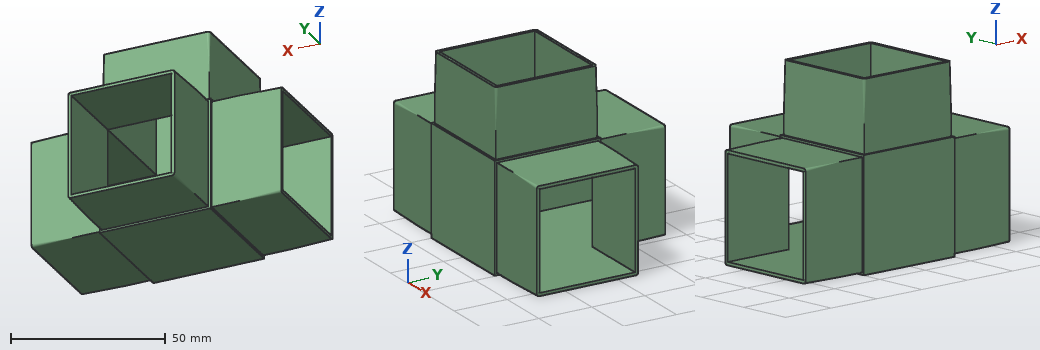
import cadquery as cq

overall_length = 90.0
hub_size = 40.0
spigot_width = 38.3
bore_width = 36.0

mouth_radius = 1.0
rounded_length = 15.0
starting_radius = 0.02

hub_half = hub_size / 2
reach = overall_length / 2

mouth_directions = [(-1, 0, 0), (1, 0, 0), (0, 1, 0), (0, 0, 1)]

def rounded_square(width, radius):
    return cq.Sketch().rect(width, width).vertices().fillet(radius)

def plane_facing(direction):
    """Plane through the hub centre, with its normal along a spigot axis."""
    x_direction = (0, 1, 0) if direction[0] else (1, 0, 0)
    return cq.Plane(origin=(0, 0, 0), xDir=x_direction, normal=direction)

def spigot(direction):
    """Solid spigot from the hub centre out to its mouth."""
    rounding_start = reach - rounded_length
    base = cq.Workplane(plane_facing(direction))
    straight = base.rect(spigot_width, spigot_width).extrude(rounding_start)
    tip = (
        base.workplane(offset=rounding_start)
        .placeSketch(
            rounded_square(spigot_width, starting_radius),
            rounded_square(spigot_width, mouth_radius).moved(cq.Location(cq.Vector(0, 0, rounded_length))),
        )
        .loft(ruled=True)
    )
    return straight.union(tip)

def bore(direction):
    """Square passage from the far wall of the hub cavity out through a mouth."""
    cavity_half = bore_width / 2
    return (
        cq.Workplane(plane_facing(direction))
        .workplane(offset=-cavity_half)
        .rect(bore_width, bore_width)
        .extrude(reach + cavity_half)
    )

result = cq.Workplane("XY").box(hub_size, hub_size, hub_size)
for mouth_direction in mouth_directions:
    result = result.union(spigot(mouth_direction))
for mouth_direction in mouth_directions:
    result = result.cut(bore(mouth_direction))